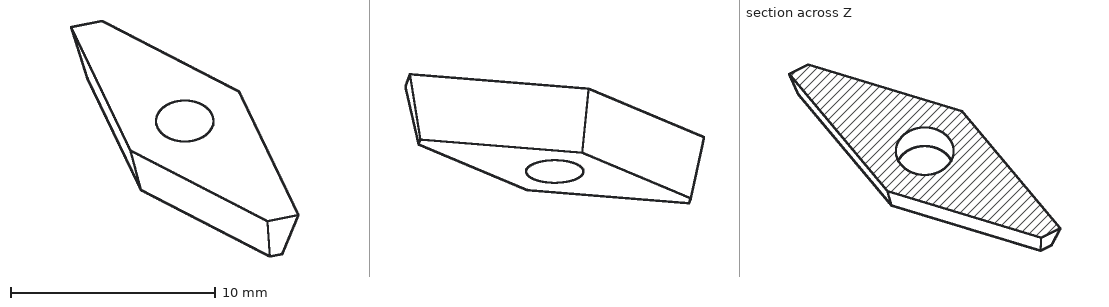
import cadquery as cq

length = 15.8
width = 6.35
thickness = 3.18

long_edge = 8.95
nose_rise = 1.58
nose_setback = 0.1

clearance_angle = 11.0
hole_diameter = 2.81

half_outline = [
    (-length / 2 + nose_setback, -width / 2 + nose_rise),
    (-length / 2, -width / 2),
    (-length / 2 + long_edge, -width / 2),
]
outline = half_outline + [(-x, -y) for x, y in half_outline]

body = (
    cq.Workplane("XY")
    .polyline(outline)
    .close()
    .extrude(-thickness, taper=clearance_angle)
)

result = body.faces(">Z").workplane(origin=(0, 0, 0)).hole(hole_diameter)